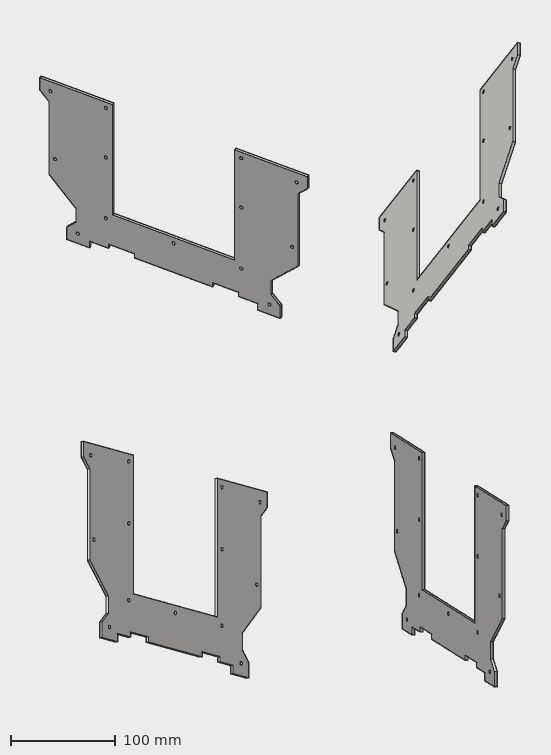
import cadquery as cq

width = 296.0
height = 186.0
thickness = 3.0
half_width = width / 2

side_half_width = 138.0
waist_half_width = 108.0
foot_half_width = 118.0
ear_edge_height = 15.0
foot_edge_height = 15.0
shoulder_base = 42.0

ear_slope_top = height - ear_edge_height
ear_slope_base = ear_slope_top - (half_width - side_half_width)
shoulder_top = shoulder_base + (side_half_width - waist_half_width)
foot_slope_top = foot_edge_height + (foot_half_width - waist_half_width)

window_half_width = 67.5
window_floor = 51.0
foot_inner_half_width = 93.0
bottom_edge = 8.0
notch_outer = 72.0
notch_inner = 43.2
notch_depth = 5.0

hole_diameter = 3.3
hole_margin = 7.5
inner_hole_x = window_half_width + hole_margin
lower_hole_z = window_floor - hole_margin
upper_hole_z = height - hole_margin
middle_hole_z = 118.0
ear_hole = (136.2, 174.0)
side_hole = (131.0, 93.0)
foot_hole = (106.0, 12.0)


def box_cutter(x_min, x_max, z_min, z_max):
    """Box through the full thickness between the given X and Z limits."""
    return cq.Workplane("XY").box(
        x_max - x_min, 2 * thickness, z_max - z_min
    ).translate(((x_min + x_max) / 2, 0, (z_min + z_max) / 2))


def make_blank():
    """Solid plate with ears, shoulders, waist and feet."""
    right_edge = [
        (foot_half_width, 0),
        (foot_half_width, foot_edge_height),
        (waist_half_width, foot_slope_top),
        (waist_half_width, shoulder_base),
        (side_half_width, shoulder_top),
        (side_half_width, ear_slope_base),
        (half_width, ear_slope_top),
        (half_width, height),
    ]
    left_edge = [(-x, z) for x, z in reversed(right_edge)]
    outline = cq.Workplane("XZ").polyline(right_edge + left_edge).close()
    return outline.extrude(thickness / 2, both=True)


def cut_edges(plate):
    """Open the large window, the gap between the feet and the two notches."""
    plate = plate.cut(box_cutter(-window_half_width, window_half_width, window_floor, height))
    plate = plate.cut(box_cutter(-foot_inner_half_width, foot_inner_half_width, 0, bottom_edge))
    notch_top = bottom_edge + notch_depth
    for x_min, x_max in [(-notch_outer, -notch_inner), (notch_inner, notch_outer)]:
        plate = plate.cut(box_cutter(x_min, x_max, bottom_edge, notch_top))
    return plate


def cut_holes(plate):
    """Drill the mirrored pairs of holes and the single hole on the centre line."""
    right_holes = [
        (inner_hole_x, lower_hole_z),
        (inner_hole_x, middle_hole_z),
        (inner_hole_x, upper_hole_z),
        ear_hole,
        side_hole,
        foot_hole,
    ]
    left_holes = [(-x, z) for x, z in right_holes]
    centre_hole = (0, lower_hole_z)
    drills = (
        cq.Workplane("XZ")
        .pushPoints(right_holes + left_holes + [centre_hole])
        .circle(hole_diameter / 2)
        .extrude(thickness, both=True)
    )
    return plate.cut(drills)


result = cut_holes(cut_edges(make_blank()))